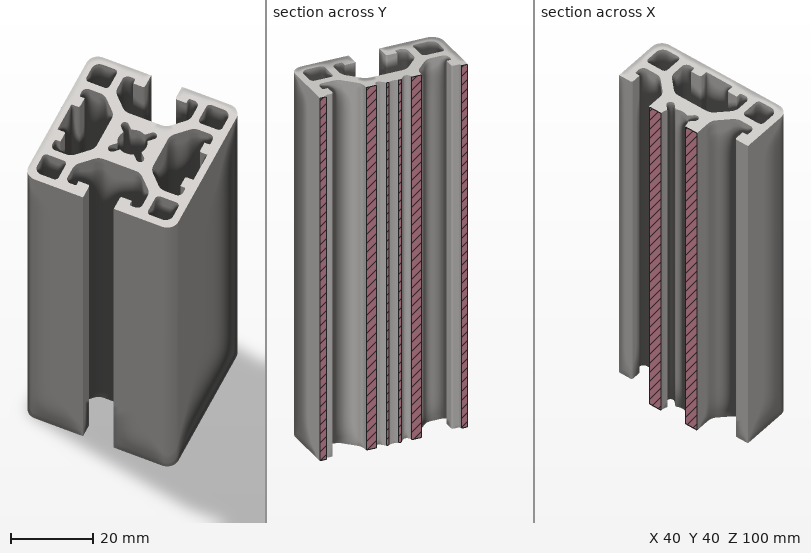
import cadquery as cq
import math


side = 40.0
length = 100.0
corner_radius = 3.0
half_side = side / 2

closed_side_wall = 1.85
open_side_wall = 2.0
chamber_wall = 1.95
web_thickness = 2.8

mouth_half_width = 4.1
lip_end = 7.1
slot_half_width = 10.0
floor_height = 7.5
lip_underside = 16.0
undercut_top = 17.45
lip_edge_radius = 0.5
undercut_side_radius = 1.4
undercut_lip_radius = 0.4
web_bend_radius = 3.0

chamber_inner = slot_half_width + chamber_wall
chamber_outer_x = half_side - closed_side_wall
chamber_outer_y = half_side - open_side_wall
chamber_outer_radius = 2.0
chamber_radius = 1.0

bore_diameter = 7.4
groove_width = 2.0
groove_end_offset = 3.75


def round_edges(body, points, radius):
    """Round the edges parallel to Z that pass through the given XY points."""
    for x, y in points:
        body = body.edges(cq.selectors.NearestToPointSelector((x, y, length / 2))).fillet(radius)
    return body


def slot_cavity(mouth_height):
    """Cavity of the T-slot facing +Y, its mouth ending at the given distance from the axis."""
    web_offset = web_thickness / math.sqrt(2)
    lip_edge = (mouth_half_width, lip_underside)
    undercut_lip = (lip_end, undercut_top)
    undercut_side = (slot_half_width, undercut_top)
    web_top = (slot_half_width, slot_half_width + web_offset)
    web_foot = (floor_height - web_offset, floor_height)
    right_half = [
        (mouth_half_width, mouth_height),
        lip_edge,
        (lip_end, lip_underside),
        undercut_lip,
        undercut_side,
        web_top,
        web_foot,
    ]

    def both_sides(*points):
        return [(sign * x, y) for x, y in points for sign in (1, -1)]

    left_half = [(-x, y) for x, y in reversed(right_half)]
    cavity = cq.Workplane("XY").polyline(right_half + left_half).close().extrude(length)
    cavity = round_edges(cavity, both_sides(lip_edge), lip_edge_radius)
    cavity = round_edges(cavity, both_sides(undercut_lip), undercut_lip_radius)
    cavity = round_edges(cavity, both_sides(undercut_side), undercut_side_radius)
    return round_edges(cavity, both_sides(web_top, web_foot), web_bend_radius)


def corner_chamber():
    """Hollow chamber in the +X +Y corner."""
    size_x = chamber_outer_x - chamber_inner
    size_y = chamber_outer_y - chamber_inner
    chamber = (
        cq.Workplane("XY")
        .rect(size_x, size_y, centered=False)
        .extrude(length)
        .translate((chamber_inner, chamber_inner, 0))
    )
    chamber = round_edges(chamber, [(chamber_outer_x, chamber_outer_y)], chamber_outer_radius)
    other_corners = [
        (chamber_inner, chamber_inner),
        (chamber_inner, chamber_outer_y),
        (chamber_outer_x, chamber_inner),
    ]
    return round_edges(chamber, other_corners, chamber_radius)


def core_bore():
    """Round bore along the axis with two crossed diagonal slots."""
    groove_length = 2 * math.sqrt(2) * groove_end_offset + groove_width
    bore = cq.Workplane("XY").circle(bore_diameter / 2).extrude(length)
    for angle in (45, -45):
        bore = bore.union(cq.Workplane("XY").slot2D(groove_length, groove_width, angle).extrude(length))
    return bore


profile = cq.Workplane("XY").rect(side, side).extrude(length).edges("|Z").fillet(corner_radius)

open_slot = slot_cavity(half_side)
closed_slot = slot_cavity(half_side - closed_side_wall)
z_axis = ((0, 0, 0), (0, 0, 1))
for quarter, slot in enumerate((open_slot, closed_slot, open_slot, closed_slot)):
    profile = profile.cut(slot.rotate(*z_axis, 90 * quarter))

right_chamber = corner_chamber()
left_chamber = right_chamber.mirror("YZ")
for chamber in (right_chamber, left_chamber):
    profile = profile.cut(chamber).cut(chamber.mirror("XZ"))

result = profile.cut(core_bore())